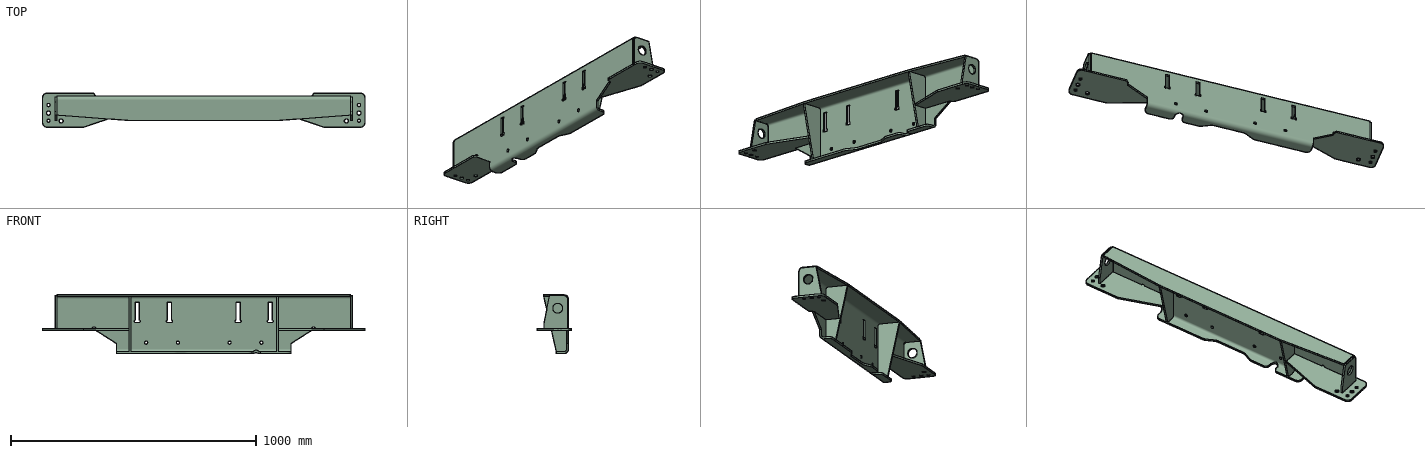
import cadquery as cq

TOTAL_LENGTH = 1315.0
HEIGHT = 240.0
FOOT_DEPTH = 140.0
SHEET = 8.0

WEB_BACK = 58.0
WEB_FRONT = WEB_BACK - SHEET
BEND_OUTER = 18.0
BEND_INNER = BEND_OUTER - SHEET
BEAM_HALF = 598.0
TOP_FRONT = -43.0
TOP_END_FRONT = -20.0
TOP_STRAIGHT_HALF = 296.0

BOTTOM_HALF = 356.0
BOTTOM_FRONT = 8.0
BOTTOM_CORNER_RADIUS = 20.0
WEB_SHOULDER_Z = 41.0
WEB_STEP_HALF = 441.0

RECESS_MOUTH_HALF = 115.0
RECESS_FLOOR_HALF = 70.0
RECESS_FLOOR_Y = 30.0
RECESS_FILLET = 30.0

NOTCH_X = 213.5
NOTCH_RADIUS = 17.0
NOTCH_TIP_Y = 49.5
NOTCH_MOUTH_FILLET = 17.0

FOOT_BOTTOM = 95.0
FOOT_TOP = FOOT_BOTTOM + SHEET
FOOT_OUTER = TOTAL_LENGTH / 2
FOOT_FRONT = -FOOT_DEPTH / 2
FOOT_BACK = FOOT_DEPTH / 2
FOOT_CORNER_RADIUS = 20.0
FOOT_TAPER_X = 490.0
FOOT_INNER_FRONT = -7.0
FOOT_STEP_X = 449.0
BOLT_X = 632.5
SMALL_BOLT_YS = (21.0, -43.0)
LARGE_BOLT_CENTERS = ((BOLT_X, -12.0), (581.0, -44.0))
SMALL_BOLT_DIAMETER = 12.0
LARGE_BOLT_DIAMETER = 16.0
RELIEF_X = 447.0
RELIEF_Z = 100.5
RELIEF_RADIUS = 8.0

RIB_INNER = TOP_STRAIGHT_HALF
RIB_OUTER = RIB_INNER + SHEET
END_INSET = 4.0
END_FOOT_FRONT = -42.0
END_VERTICAL_TOP = 125.0
END_HOLE_DIAMETER = 40.0
END_HOLE_Y = 14.0
END_HOLE_Z = 185.0

KEYHOLE_XS = (140.0, 271.0)
KEYHOLE_WIDTH = 16.0
KEYHOLE_BOTTOM = 127.0
KEYHOLE_TOP = 209.0
KEYHOLE_FOOT_WIDTH = 24.0
KEYHOLE_FOOT_HEIGHT = 10.0
WEB_HOLE_XS = (105.0, 235.0)
WEB_HOLE_Z = 45.0
WEB_HOLE_DIAMETER = 12.0


def both_sides(body):
    """The body on the +X side joined with its mirror image."""
    return body.union(body.mirror("YZ"))


def plate_xy(points, bottom, top):
    """Horizontal plate with a polygonal outline."""
    return cq.Workplane("XY").workplane(offset=bottom).polyline(points).close().extrude(top - bottom)


def plate_yz(points, start, thickness):
    """Plate standing across X, with its outline given in Y and Z."""
    return cq.Workplane("YZ").workplane(offset=start).polyline(points).close().extrude(thickness)


def through_web(sketch):
    """Cutter made from a closed XZ sketch, long enough to pass through the web."""
    return sketch.extrude(FOOT_DEPTH, both=True)


def channel_section():
    """C-shaped bent sheet along the whole beam, flanges at the deepest front edge."""
    depth = WEB_BACK - TOP_FRONT
    outer = (
        cq.Workplane("XY")
        .box(2 * BEAM_HALF, depth, HEIGHT, centered=(True, False, False))
        .translate((0, TOP_FRONT, 0))
        .edges("|X and >Y")
        .fillet(BEND_OUTER)
    )
    inner = (
        cq.Workplane("XY")
        .box(2 * BEAM_HALF, depth - SHEET, HEIGHT - 2 * SHEET, centered=(True, False, False))
        .translate((0, TOP_FRONT, SHEET))
        .edges("|X and >Y")
        .fillet(BEND_INNER)
    )
    return outer.cut(inner)


def upper_envelope():
    """Outline of the upper half: the front edge tapers back towards both ends."""
    return plate_xy(
        [
            (-BEAM_HALF, WEB_BACK),
            (-BEAM_HALF, TOP_END_FRONT),
            (-TOP_STRAIGHT_HALF, TOP_FRONT),
            (TOP_STRAIGHT_HALF, TOP_FRONT),
            (BEAM_HALF, TOP_END_FRONT),
            (BEAM_HALF, WEB_BACK),
        ],
        HEIGHT / 2,
        HEIGHT,
    )


def bottom_flange_outline():
    """Bottom flange outline: rounded corners and a recess in the front edge."""
    flange = (
        plate_xy(
            [
                (-BOTTOM_HALF, WEB_BACK),
                (-BOTTOM_HALF, BOTTOM_FRONT),
                (BOTTOM_HALF, BOTTOM_FRONT),
                (BOTTOM_HALF, WEB_BACK),
            ],
            0,
            HEIGHT / 2,
        )
        .edges("|Z and <Y")
        .fillet(BOTTOM_CORNER_RADIUS)
    )
    return flange.cut(recess_cutter()).cut(notch_cutter())


def recess_cutter():
    """Everything ahead of the bottom flange, plus a trapezoidal recess with S-shaped sides."""
    beyond = BOTTOM_FRONT - BOTTOM_HALF
    points = [
        (-BOTTOM_HALF, beyond),
        (-BOTTOM_HALF, BOTTOM_FRONT),
        (-RECESS_MOUTH_HALF, BOTTOM_FRONT),
        (-RECESS_FLOOR_HALF, RECESS_FLOOR_Y),
        (RECESS_FLOOR_HALF, RECESS_FLOOR_Y),
        (RECESS_MOUTH_HALF, BOTTOM_FRONT),
        (BOTTOM_HALF, BOTTOM_FRONT),
        (BOTTOM_HALF, beyond),
    ]
    side_corners = cq.selectors.BoxSelector(
        (-BOTTOM_HALF / 2, 0, 0), (BOTTOM_HALF / 2, WEB_BACK, HEIGHT)
    )
    return plate_xy(points, 0, BEND_OUTER).edges("|Z").edges(side_corners).fillet(RECESS_FILLET)


def notch_cutter():
    """Round-ended notch with flared mouth, cut up into the lower bend."""
    center_y = NOTCH_TIP_Y - NOTCH_RADIUS
    flare_half = NOTCH_RADIUS + NOTCH_MOUTH_FILLET
    flare_y = BOTTOM_FRONT + NOTCH_MOUTH_FILLET
    return (
        cq.Workplane("XY")
        .moveTo(NOTCH_X - flare_half, BOTTOM_FRONT)
        .radiusArc((NOTCH_X - NOTCH_RADIUS, flare_y), -NOTCH_MOUTH_FILLET)
        .lineTo(NOTCH_X - NOTCH_RADIUS, center_y)
        .threePointArc((NOTCH_X, NOTCH_TIP_Y), (NOTCH_X + NOTCH_RADIUS, center_y))
        .lineTo(NOTCH_X + NOTCH_RADIUS, flare_y)
        .radiusArc((NOTCH_X + flare_half, BOTTOM_FRONT), -NOTCH_MOUTH_FILLET)
        .close()
        .extrude(BEND_OUTER)
    )


def web_outline():
    """Front silhouette of the channel: full length above the feet, narrow below."""
    right_half = [
        (BOTTOM_HALF, 0),
        (BOTTOM_HALF, WEB_SHOULDER_Z),
        (WEB_STEP_HALF, FOOT_BOTTOM),
        (WEB_STEP_HALF, FOOT_TOP),
        (BEAM_HALF, FOOT_TOP),
        (BEAM_HALF, HEIGHT),
    ]
    left_half = [(-x, z) for x, z in reversed(right_half)]
    return through_web(cq.Workplane("XZ").polyline(right_half + left_half).close())


def lower_envelope():
    """Bottom flange outline extended along the web, so that only the flange is trimmed."""
    web_strip = (
        cq.Workplane("XY")
        .box(2 * BEAM_HALF, BEND_OUTER, HEIGHT / 2 - BEND_OUTER, centered=(True, False, False))
        .translate((0, WEB_BACK - BEND_OUTER, BEND_OUTER))
    )
    return bottom_flange_outline().union(web_strip)


def channel():
    """Bent channel trimmed to its flange and web outlines."""
    envelope = upper_envelope().union(lower_envelope())
    return channel_section().intersect(web_outline()).intersect(envelope)


def foot_plate():
    """Horizontal mounting plate at the +X end, with four bolt holes."""
    points = [
        (FOOT_OUTER, FOOT_FRONT),
        (FOOT_OUTER, FOOT_BACK),
        (FOOT_STEP_X, FOOT_BACK),
        (WEB_STEP_HALF, WEB_BACK),
        (WEB_STEP_HALF, WEB_FRONT),
        (RIB_OUTER, WEB_FRONT),
        (RIB_OUTER, FOOT_INNER_FRONT),
        (FOOT_TAPER_X, FOOT_FRONT),
    ]
    plate = plate_xy(points, FOOT_BOTTOM, FOOT_TOP).edges("|Z and >X").fillet(FOOT_CORNER_RADIUS)
    small_centers = [(BOLT_X, y) for y in SMALL_BOLT_YS]
    small = cq.Workplane("XY").pushPoints(small_centers).circle(SMALL_BOLT_DIAMETER / 2)
    large = cq.Workplane("XY").pushPoints(LARGE_BOLT_CENTERS).circle(LARGE_BOLT_DIAMETER / 2)
    return plate.cut(small.extrude(HEIGHT)).cut(large.extrude(HEIGHT))


def rib():
    """Tapered stiffener between the two flanges."""
    return plate_yz(
        [
            (WEB_FRONT, SHEET),
            (BOTTOM_FRONT, SHEET),
            (TOP_FRONT, HEIGHT - SHEET),
            (WEB_FRONT, HEIGHT - SHEET),
        ],
        RIB_INNER,
        SHEET,
    )


def end_plate():
    """Plate closing the beam end, standing on the foot plate, with a large hole."""
    back = WEB_BACK - END_INSET
    top = HEIGHT - END_INSET
    plate = plate_yz(
        [
            (back, FOOT_TOP),
            (back, top),
            (TOP_END_FRONT, top),
            (END_FOOT_FRONT, END_VERTICAL_TOP),
            (END_FOOT_FRONT, FOOT_TOP),
        ],
        BEAM_HALF,
        SHEET,
    )
    plate = plate.edges("|X and >Y and >Z").fillet(BEND_OUTER - END_INSET)
    hole = (
        cq.Workplane("YZ")
        .center(END_HOLE_Y, END_HOLE_Z)
        .circle(END_HOLE_DIAMETER / 2)
        .extrude(TOTAL_LENGTH)
    )
    return plate.cut(hole)


def keyhole(x):
    """Upright web slot with a wider foot."""
    height = KEYHOLE_TOP - KEYHOLE_BOTTOM
    slot = (
        cq.Workplane("XZ")
        .center(x, KEYHOLE_BOTTOM + height / 2)
        .rect(KEYHOLE_WIDTH, height)
    )
    foot = (
        cq.Workplane("XZ")
        .center(x, KEYHOLE_BOTTOM + KEYHOLE_FOOT_HEIGHT / 2)
        .slot2D(KEYHOLE_FOOT_WIDTH, KEYHOLE_FOOT_HEIGHT)
    )
    return through_web(slot).union(through_web(foot))


def web_holes():
    """Round holes near the bottom of the web, on the +X side."""
    centers = [(x, WEB_HOLE_Z) for x in WEB_HOLE_XS]
    return through_web(cq.Workplane("XZ").pushPoints(centers).circle(WEB_HOLE_DIAMETER / 2))


def relief():
    """Rounded cut in the web directly above the foot plate."""
    disc = through_web(cq.Workplane("XZ").center(RELIEF_X, RELIEF_Z).circle(RELIEF_RADIUS))
    above_foot = cq.Workplane("XY").box(
        TOTAL_LENGTH, 2 * FOOT_DEPTH, HEIGHT, centered=(False, True, False)
    )
    return disc.intersect(above_foot.translate((0, 0, FOOT_TOP)))


openings = web_holes().union(relief())
for keyhole_x in KEYHOLE_XS:
    openings = openings.union(keyhole(keyhole_x))

result = channel().cut(both_sides(openings))
for piece in (foot_plate(), rib(), end_plate()):
    result = result.union(both_sides(piece))